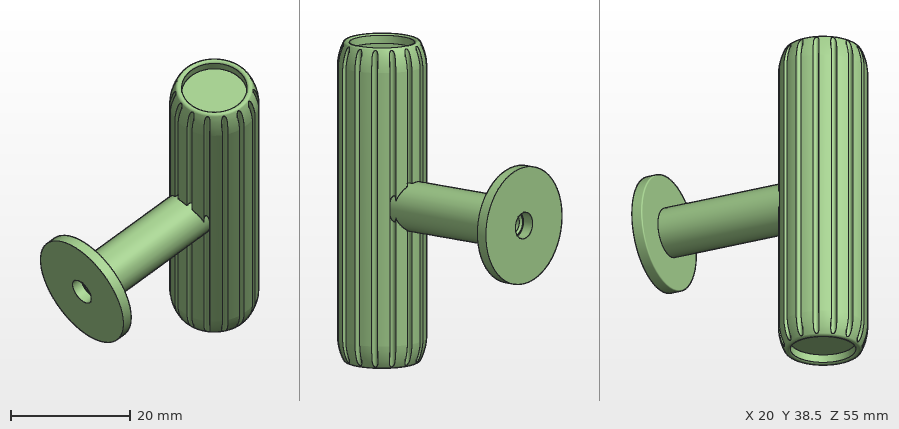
import cadquery as cq
import math

grip_length = 55.0
grip_radius = 7.505
half_length = grip_length / 2
taper_length = 4.0
taper_bulge = 0.2
rim_outer_radius = 6.5
rim_height = 0.3
recess_radius = 5.5
recess_depth = 1.65
flute_count = 15
flute_width = 1.0
flute_depth = 1.0

disc_radius = 10.0
disc_thickness = 2.0
disc_edge_fillet = 0.2
disc_hole_radius = 2.25

overall_depth = 38.5
post_radius = 4.26
post_insertion = 4.0
post_hole_radius = 1.62
post_hole_depth = 9.9
countersink_radius = 2.005
drill_half_angle = math.radians(59)

grip_axis_y = overall_depth - grip_radius
post_end_y = grip_axis_y - grip_radius + post_insertion


def y_cylinder(radius, start_y, end_y):
    """Solid cylinder along +Y."""
    return (
        cq.Workplane("XZ", origin=(0, start_y, 0))
        .circle(radius)
        .extrude(start_y - end_y)
    )


def make_grip_blank():
    """Revolved bar with curved ends, rounded rims and a shallow recess in each end."""
    taper_z = half_length - taper_length
    rim_z = half_length - rim_height
    floor_z = half_length - recess_depth
    rim_middle = (rim_outer_radius + recess_radius) / 2
    taper_middle = (
        (grip_radius + rim_outer_radius) / 2 + taper_bulge,
        (taper_z + rim_z) / 2,
    )
    upper_half = (
        cq.Workplane("XZ")
        .lineTo(grip_radius, 0)
        .lineTo(grip_radius, taper_z)
        .threePointArc(taper_middle, (rim_outer_radius, rim_z))
        .threePointArc((rim_middle, half_length), (recess_radius, rim_z))
        .lineTo(recess_radius, floor_z)
        .lineTo(0, floor_z)
        .close()
        .revolve(360, (0, 0), (0, 1))
    )
    return upper_half.union(upper_half.mirror("XY")).translate((0, grip_axis_y, 0))


def make_flute(angle):
    """Round-bottomed groove cutter running the full length of the grip."""
    flute_radius = flute_width / 2
    bottom = grip_radius - flute_depth
    arc_start = bottom + flute_radius
    outside = grip_radius + flute_width
    return (
        cq.Workplane("XY", origin=(0, 0, -half_length))
        .moveTo(outside, -flute_radius)
        .lineTo(arc_start, -flute_radius)
        .threePointArc((bottom, 0), (arc_start, flute_radius))
        .lineTo(outside, flute_radius)
        .close()
        .extrude(grip_length)
        .rotate((0, 0, 0), (0, 0, 1), angle)
        .translate((0, grip_axis_y, 0))
    )


def make_grip():
    """Fluted bar with a flat-bottomed socket that takes the post."""
    grip = make_grip_blank()
    for index in range(flute_count):
        grip = grip.cut(make_flute(90 + index * 360 / flute_count))
    return grip.cut(y_cylinder(post_radius, 0, post_end_y))


def make_post():
    """Round post with a countersunk blind hole in its disc end."""
    countersink_depth = countersink_radius - post_hole_radius
    straight_end_y = disc_thickness + post_hole_depth
    tip_y = straight_end_y + post_hole_radius / math.tan(drill_half_angle)
    hole = (
        cq.Workplane("XY")
        .moveTo(0, disc_thickness)
        .lineTo(countersink_radius, disc_thickness)
        .lineTo(post_hole_radius, disc_thickness + countersink_depth)
        .lineTo(post_hole_radius, straight_end_y)
        .lineTo(0, tip_y)
        .close()
        .revolve(360, (0, 0), (0, 1))
    )
    return y_cylinder(post_radius, disc_thickness, post_end_y).cut(hole)


def make_disc():
    """Base disc with a through hole and a softened edge on the post side."""
    disc = y_cylinder(disc_radius, 0, disc_thickness)
    disc = disc.faces(">Y").edges().fillet(disc_edge_fillet)
    return disc.cut(y_cylinder(disc_hole_radius, 0, disc_thickness))


grip = make_grip()
post = make_post()
disc = make_disc()

result = cq.Compound.makeCompound([body.solids().val() for body in (grip, post, disc)])